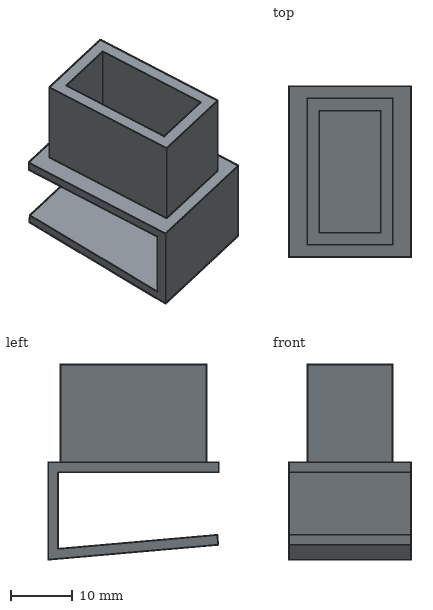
import cadquery as cq
import math

clip_width = 20.0
clip_length = 28.0
clip_height = 16.0
sheet = 1.65
arm_tilt = math.radians(5)

socket_height = 16.0
socket_length = 24.0
cavity_length = 20.0
cavity_width = cavity_length / 2
socket_wall = (socket_length - cavity_length) / 2
socket_width = cavity_width + 2 * socket_wall

back_y = clip_length / 2
plate_bottom = clip_height - sheet


def make_clip():
    """Extrude the clip's side profile across its width, centred on X = 0."""
    inner_y = back_y - sheet
    tip_bottom_y = back_y - clip_length * math.cos(arm_tilt)
    tip_bottom_z = clip_length * math.sin(arm_tilt)
    tip_top_y = tip_bottom_y + sheet * math.sin(arm_tilt)
    tip_top_z = tip_bottom_z + sheet * math.cos(arm_tilt)
    arm_root_z = tip_top_z - (inner_y - tip_top_y) * math.tan(arm_tilt)
    profile = [
        (back_y, 0),
        (back_y, clip_height),
        (-back_y, clip_height),
        (-back_y, plate_bottom),
        (inner_y, plate_bottom),
        (inner_y, arm_root_z),
        (tip_top_y, tip_top_z),
        (tip_bottom_y, tip_bottom_z),
    ]
    return cq.Workplane("YZ").polyline(profile).close().extrude(clip_width / 2, both=True)


def make_socket():
    """Hollow rectangular tube whose floor is the top face of the plate."""
    return (
        cq.Workplane("XY", origin=(0, 0, clip_height))
        .rect(socket_width, socket_length)
        .rect(cavity_width, cavity_length)
        .extrude(socket_height)
    )


result = make_clip().union(make_socket())